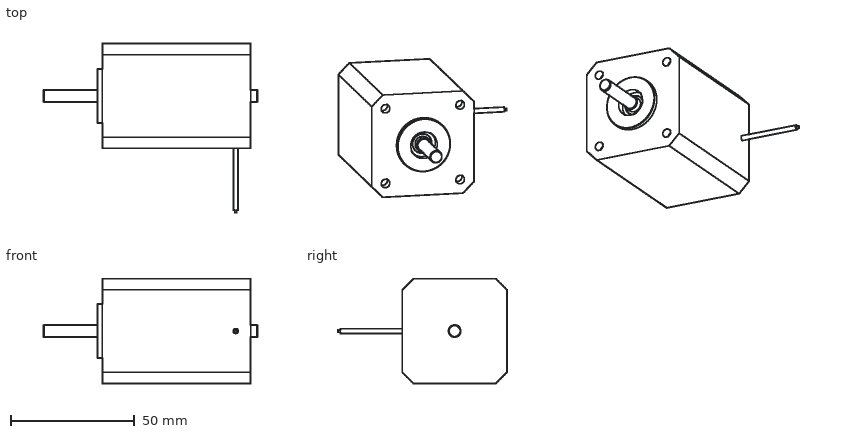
import cadquery as cq
import math

body_width = 42.5
body_length = 60.0
body_corner_chamfer = 4.6

pilot_diameter = 22.0
pilot_height = 2.0
pilot_edge_chamfer = 0.2

recess_diameter = 11.0
recess_depth = 3.5
hub_diameter = 8.0
hub_depth = 3.0
collar_diameter = 6.0
collar_depth = 0.2

shaft_diameter = 5.0
shaft_front_length = 24.0
shaft_rear_length = 3.0
shaft_end_chamfer_radial = 0.25
shaft_end_chamfer_axial = 0.5

hole_spacing = 31.0
hole_diameter = 3.5
hole_depth = 4.5
drill_point_angle = 118.0

wire_diameter = 2.0
wire_length = 25.0
core_diameter = 1.0
core_length = 1.0
wire_rear_offset = 6.0


def cylinder_x(x_start, x_end, diameter):
    """Cylinder on the motor axis between two X positions."""
    return cq.Workplane("YZ", origin=(x_start, 0, 0)).circle(diameter / 2).extrude(x_end - x_start)


def make_body():
    block = cq.Workplane("YZ").rect(body_width, body_width).extrude(body_length)
    return block.edges("|X").chamfer(body_corner_chamfer)


def make_pilot():
    pilot = cylinder_x(-pilot_height, 0, pilot_diameter)
    return pilot.faces("<X").chamfer(pilot_edge_chamfer)


def make_recess():
    """Pocket sunk from the pilot face, with a low hub and a collar left standing in it."""
    floor_x = recess_depth - pilot_height
    pocket = cylinder_x(-pilot_height, floor_x, recess_diameter)
    hub = cylinder_x(hub_depth - pilot_height, floor_x, hub_diameter)
    collar = cylinder_x(collar_depth - pilot_height, floor_x, collar_diameter)
    return pocket.cut(hub).cut(collar)


def revolve_about_x(outline):
    """Solid of revolution about the motor axis from (x, radius) points."""
    return cq.Workplane("XY").polyline(outline).close().revolve(360, (0, 0, 0), (1, 0, 0))


def make_shaft():
    """Through shaft with a steep chamfer at both ends."""
    front_x = -shaft_front_length
    rear_x = body_length + shaft_rear_length
    radius = shaft_diameter / 2
    end_radius = radius - shaft_end_chamfer_radial
    outline = [
        (front_x, 0),
        (front_x, end_radius),
        (front_x + shaft_end_chamfer_axial, radius),
        (rear_x - shaft_end_chamfer_axial, radius),
        (rear_x, end_radius),
        (rear_x, 0),
    ]
    return revolve_about_x(outline)


def make_mounting_hole(y, z):
    """Drill-shaped cutter: a cylinder ending in a cone."""
    radius = hole_diameter / 2
    point_length = radius / math.tan(math.radians(drill_point_angle / 2))
    outline = [(0, 0), (0, radius), (hole_depth, radius), (hole_depth + point_length, 0)]
    return revolve_about_x(outline).translate((0, y, z))


def make_wire():
    """Insulated wire with a short bare core at its free end."""
    wire_base = cq.Workplane("XZ", origin=(body_length - wire_rear_offset, -body_width / 2, 0))
    insulation = wire_base.circle(wire_diameter / 2).extrude(wire_length)
    core = wire_base.circle(core_diameter / 2).extrude(wire_length + core_length)
    return insulation.union(core)


motor = make_body().union(make_pilot())
motor = motor.cut(make_recess())
for y_sign in (-1, 1):
    for z_sign in (-1, 1):
        motor = motor.cut(make_mounting_hole(y_sign * hole_spacing / 2, z_sign * hole_spacing / 2))

result = motor.union(make_shaft()).union(make_wire())